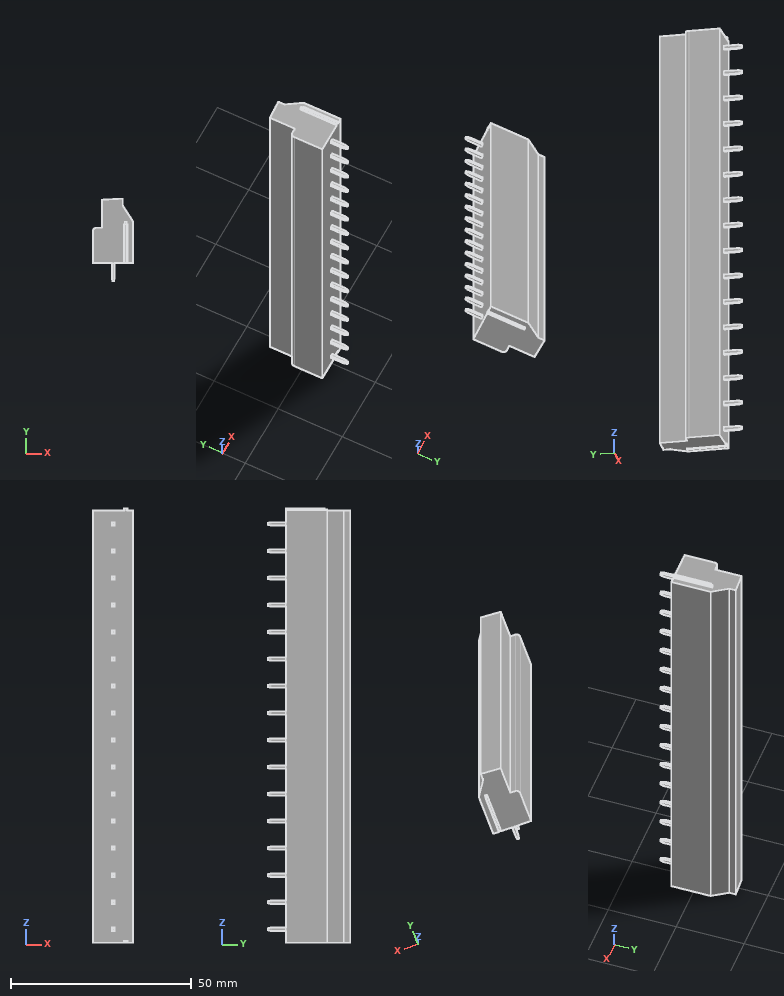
import cadquery as cq

pole_count = 16
pole_pitch = 7.5
body_length = pole_count * pole_pitch
overall_length = 120.6
body_width = 11.2
body_depth = 18.0

ledge_width = 2.5
ledge_depth = 9.9
ledge_radius = 1.1
back_taper = 0.3
slope_width = 2.9
slope_start_depth = 11.6
slope_end_depth = 16.0

pin_x = 5.7
pin_width = 0.8
pin_height = 1.0
pin_length = 5.1
tip_length = 1.0
tip_scale = 0.6

key_x = 9.2
key_height = overall_length - body_length
neck_width = 0.6
neck_length = 11.5
neck_height = 0.4
lip_width = 1.1
lip_length = 10.9


def make_housing():
    return (
        cq.Workplane("XY")
        .moveTo(0, 0)
        .lineTo(body_width, 0)
        .lineTo(body_width, slope_start_depth)
        .lineTo(body_width - slope_width, slope_end_depth)
        .lineTo(body_width - slope_width, body_depth)
        .lineTo(ledge_width, body_depth - back_taper)
        .lineTo(ledge_width, ledge_depth)
        .lineTo(ledge_radius, ledge_depth)
        .radiusArc((0, ledge_depth - ledge_radius), -ledge_radius)
        .close()
        .extrude(body_length)
    )


def make_rail(base_z):
    """T-shaped rail running back from the front face, with the narrow neck at base_z."""
    rail_start = cq.Workplane("XY", origin=(key_x, 0, base_z))
    neck = rail_start.box(neck_width, neck_length, neck_height, centered=(True, False, False))
    lip = (
        rail_start.workplane(offset=neck_height)
        .box(lip_width, lip_length, key_height - neck_height, centered=(True, False, False))
    )
    return neck.union(lip)


def make_pin(center_z):
    shank_length = pin_length - tip_length
    shank = (
        cq.Workplane("XZ")
        .center(pin_x, center_z)
        .rect(pin_width, pin_height)
        .extrude(shank_length)
    )
    tip = (
        cq.Workplane("XZ", origin=(0, -shank_length, 0))
        .center(pin_x, center_z)
        .rect(pin_width, pin_height)
        .workplane(offset=tip_length)
        .rect(pin_width * tip_scale, pin_height * tip_scale)
        .loft()
    )
    return shank.union(tip)


result = make_housing().cut(make_rail(0)).union(make_rail(body_length))
for pole in range(pole_count):
    result = result.union(make_pin((pole + 0.5) * pole_pitch))